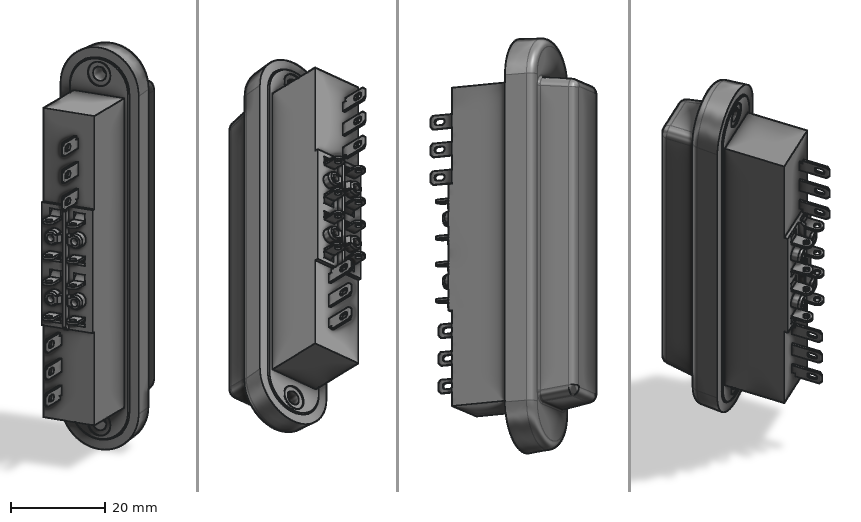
import cadquery as cq

TOTAL_LENGTH = 89.8
FLANGE_WIDTH = 18.8
END_CENTRE_Z = (TOTAL_LENGTH - FLANGE_WIDTH) / 2
FLANGE_DEPTH = 6.6
FLANGE_DRAFT = 4.0
FLANGE_EDGE_RADIUS = 1.8

HOOD_BACK_Y = 14.9
HOOD_WIDTH = 13.65
HOOD_LENGTH = 70.4
HOOD_DRAFT = 6.5
HOOD_CORNER_RADIUS = 2.1
HOOD_EDGE_RADIUS = 1.8
HOOD_ROOT_RADIUS = 0.5
SELECTION_MARGIN = 0.1

RECESS_WIDTH = 14.4
RECESS_DEPTH = 4.5

PLATE_CLEARANCE = 0.3
PLATE_WIDTH = RECESS_WIDTH - 2 * PLATE_CLEARANCE
PLATE_FRONT_Y = -0.3

SCREW_HOLE_DIAMETER = 3.1
SCREW_SEAT_DIAMETER = 5.4
SCREW_SEAT_DEPTH = 0.3
SCREW_Z = 39.1

BLOCK_WIDTH = 12.2
BLOCK_LENGTH = 69.15
BLOCK_FRONT_Y = -14.1
PAD_LENGTH = 27.5
PAD_FRONT_Y = -14.9

RIB_WIDTH = 0.8
RIB_FRONT_Y = -16.25
RIB_END_CHAMFER = 0.8

LUG_TIP_Y = -21.1
LUG_X = 2.0
LUG_THICKNESS = 0.5
LUG_WIDTH = 3.0
LUG_MIDDLE_Z = 22.3
LUG_PITCH = 6.0
LUG_TIP_CHAMFER = 0.6
LUG_TIP_BEVEL = 0.2
LUG_NOTCH_WIDTH = 0.8
LUG_SLOT_Y = -18.9
LUG_SLOT_LENGTH = 2.3
LUG_SLOT_WIDTH = 1.35

GROUP_X = 2.9
GROUP_Z = 6.8

POST_DIAMETER = 3.2
POST_FRONT_Y = -17.15
POST_CHAMFER_LENGTH = 0.6
POST_CHAMFER_WIDTH = 0.3
POST_BORE_DIAMETER = 1.6
WEB_THICKNESS = 1.8
WEB_LOW_Y = -16.1
WEB_LEDGE = 0.3

BLADE_OFFSET_Z = 3.95
BLADE_THICKNESS = 0.5
BLADE_WIDTH = 2.8
BLADE_TIP_Y = -19.2
BLADE_EYE_DIAMETER = 1.4
POCKET_WIDTH = 2.7
POCKET_DEPTH = 1.6
POCKET_HEIGHT = 1.6


def box_between(width, height, front_y, back_y, z=0.0):
    """Box centred on x = 0 and the given z that reaches from front_y back to back_y."""
    centre_y = (front_y + back_y) / 2
    return cq.Workplane("XY").box(width, back_y - front_y, height).translate((0, centre_y, z))


def facing_back(y):
    """Sketch plane at depth y whose normal is +Y and whose local up is +Z."""
    return cq.Workplane(cq.Plane(origin=(0, y, 0), xDir=(-1, 0, 0), normal=(0, 1, 0)))


def obround_sketch(y, width):
    """Upright obround whose end arcs share the centres of the flange's ends."""
    return facing_back(y).slot2D(2 * END_CENTRE_Z + width, width, 90)


def make_hood():
    hood = facing_back(FLANGE_DEPTH).rect(HOOD_WIDTH, HOOD_LENGTH)
    hood = hood.extrude(HOOD_BACK_Y - FLANGE_DEPTH, taper=HOOD_DRAFT)
    hood = hood.edges("not(<Y or >Y)").fillet(HOOD_CORNER_RADIUS)
    return hood.faces(">Y").edges().fillet(HOOD_EDGE_RADIUS)


def make_cover():
    flange = obround_sketch(0, FLANGE_WIDTH).extrude(FLANGE_DEPTH, taper=FLANGE_DRAFT)
    flange = flange.faces(">Y").edges().fillet(FLANGE_EDGE_RADIUS)
    cover = flange.union(make_hood())

    zone_x = HOOD_WIDTH / 2 + SELECTION_MARGIN
    zone_z = HOOD_LENGTH / 2 + SELECTION_MARGIN
    root_zone = cq.selectors.BoxSelector(
        (-zone_x, FLANGE_DEPTH - SELECTION_MARGIN, -zone_z),
        (zone_x, FLANGE_DEPTH + SELECTION_MARGIN, zone_z),
        boundingbox=True,
    )
    cover = cover.edges(root_zone).fillet(HOOD_ROOT_RADIUS)
    return cover.cut(obround_sketch(0, RECESS_WIDTH).extrude(RECESS_DEPTH))


def make_plate():
    thickness = RECESS_DEPTH - PLATE_FRONT_Y
    plate = obround_sketch(PLATE_FRONT_Y, PLATE_WIDTH).extrude(thickness)
    for z in (-SCREW_Z, SCREW_Z):
        sketch = facing_back(PLATE_FRONT_Y).center(0, z)
        plate = plate.cut(sketch.circle(SCREW_SEAT_DIAMETER / 2).extrude(SCREW_SEAT_DEPTH))
        plate = plate.cut(sketch.circle(SCREW_HOLE_DIAMETER / 2).extrude(thickness))
    return plate


def make_block():
    block = box_between(BLOCK_WIDTH, BLOCK_LENGTH, BLOCK_FRONT_Y, 0)
    pad = box_between(BLOCK_WIDTH, PAD_LENGTH, PAD_FRONT_Y, BLOCK_FRONT_Y)
    rib = box_between(RIB_WIDTH, PAD_LENGTH, RIB_FRONT_Y, PAD_FRONT_Y)
    rib = rib.faces("<Y").edges("|X").chamfer(RIB_END_CHAMFER)
    return block.union(pad).union(rib)


def make_lug(x, z, notch_side):
    """Slotted lug; notch_side is +1 or -1 for a root notch above or below, 0 for none."""
    strip = box_between(LUG_THICKNESS, LUG_WIDTH, LUG_TIP_Y, BLOCK_FRONT_Y)
    clipped_corners = strip.faces("<Y").edges("|X").chamfer(LUG_TIP_CHAMFER)
    bevelled_section = (
        cq.Workplane("XY")
        .polyline([
            (-LUG_THICKNESS / 2, BLOCK_FRONT_Y),
            (-LUG_THICKNESS / 2, LUG_TIP_Y + LUG_TIP_CHAMFER),
            (LUG_TIP_BEVEL - LUG_THICKNESS / 2, LUG_TIP_Y),
            (LUG_THICKNESS / 2 - LUG_TIP_BEVEL, LUG_TIP_Y),
            (LUG_THICKNESS / 2, LUG_TIP_Y + LUG_TIP_CHAMFER),
            (LUG_THICKNESS / 2, BLOCK_FRONT_Y),
        ])
        .close()
        .extrude(LUG_WIDTH, both=True)
    )
    lug = clipped_corners.intersect(bevelled_section)
    slot = cq.Workplane("YZ").center(LUG_SLOT_Y, 0).slot2D(LUG_SLOT_LENGTH, LUG_SLOT_WIDTH)
    lug = lug.cut(slot.extrude(LUG_THICKNESS, both=True))
    if notch_side != 0:
        notch_z = notch_side * (LUG_WIDTH - LUG_NOTCH_WIDTH) / 2
        lug = lug.cut(box_between(LUG_THICKNESS, LUG_NOTCH_WIDTH, PAD_FRONT_Y, BLOCK_FRONT_Y, z=notch_z))
    return lug.translate((x, 0, z))


def make_post_with_web(side):
    """Hollow post at the origin of its group, joined to the rib by a sloping web."""
    height = PAD_FRONT_Y - POST_FRONT_Y
    post = facing_back(POST_FRONT_Y).circle(POST_DIAMETER / 2).extrude(height)
    post = post.faces("<Y").edges().chamfer(POST_CHAMFER_LENGTH, POST_CHAMFER_WIDTH)
    web = (
        cq.Workplane("XY")
        .polyline([
            (0, PAD_FRONT_Y),
            (GROUP_X, PAD_FRONT_Y),
            (GROUP_X, WEB_LOW_Y),
            (GROUP_X - RIB_WIDTH / 2 - WEB_LEDGE, WEB_LOW_Y),
            (POST_DIAMETER / 2, POST_FRONT_Y),
            (0, POST_FRONT_Y),
        ])
        .close()
        .extrude(WEB_THICKNESS / 2, both=True)
    )
    if side > 0:
        web = web.mirror("YZ")
    bore = facing_back(POST_FRONT_Y).circle(POST_BORE_DIAMETER / 2).extrude(height)
    return post.union(web).cut(bore)


def make_blade():
    """Flat blade with a rounded, pierced tip, centred on z = 0."""
    eye_y = BLADE_TIP_Y + BLADE_WIDTH / 2
    shank = box_between(BLADE_WIDTH, BLADE_THICKNESS, eye_y, PAD_FRONT_Y)
    sketch = cq.Workplane("XY").center(0, eye_y)
    tip = sketch.circle(BLADE_WIDTH / 2).extrude(BLADE_THICKNESS / 2, both=True)
    eye = sketch.circle(BLADE_EYE_DIAMETER / 2).extrude(BLADE_THICKNESS, both=True)
    return shank.union(tip).cut(eye)


def make_pocket(direction):
    """Wedge that deepens away from the blade, upward or downward by direction."""
    root_z = direction * BLADE_THICKNESS / 2
    far_z = root_z + direction * POCKET_HEIGHT
    wedge = cq.Workplane("YZ").polyline([
        (PAD_FRONT_Y, root_z),
        (PAD_FRONT_Y, far_z),
        (PAD_FRONT_Y + POCKET_DEPTH, far_z),
    ])
    return wedge.close().extrude(POCKET_WIDTH / 2, both=True)


def make_insert():
    insert = make_plate().union(make_block())

    for half in (-1, 1):
        for step in (-1, 0, 1):
            lug_z = half * LUG_MIDDLE_Z + step * LUG_PITCH
            insert = insert.union(make_lug(half * LUG_X, lug_z, step))

    for side in (-1, 1):
        for level in (-1, 1):
            group_x = side * GROUP_X
            group_z = level * GROUP_Z
            insert = insert.union(make_post_with_web(side).translate((group_x, 0, group_z)))
            for direction in (-1, 1):
                place = (group_x, 0, group_z + direction * BLADE_OFFSET_Z)
                insert = insert.cut(make_pocket(direction).translate(place))
                insert = insert.union(make_blade().translate(place))
    return insert


cover = make_cover()
insert = make_insert()

result = cq.Compound.makeCompound([cover.val(), insert.val()])